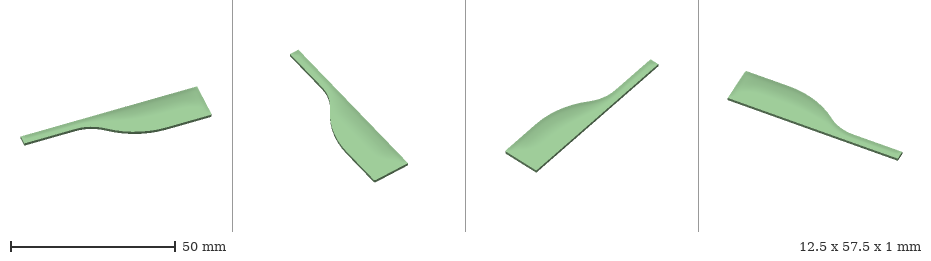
import cadquery as cq
import math

length = 57.5
blade_width = 12.5
thickness = 1.0

handle_width = 3.1
corner_radius = 0.5

blade_arc_radius = 27.35
blade_shoulder_y = 14.05

handle_arc_radius = blade_arc_radius / 2
turn_angle = math.acos(1 - (blade_width - handle_width) / (blade_arc_radius + handle_arc_radius))

left_x = -blade_width / 2
right_x = blade_width / 2
handle_x = left_x + handle_width
top_y = length / 2
bottom_y = -length / 2
handle_shoulder_y = blade_shoulder_y - (blade_arc_radius + handle_arc_radius) * math.sin(turn_angle)


def blade_arc_point(angle):
    """Point on the convex arc, turned by angle from the blade side."""
    return (
        right_x - blade_arc_radius * (1 - math.cos(angle)),
        blade_shoulder_y - blade_arc_radius * math.sin(angle),
    )


def handle_arc_point(angle):
    """Point on the concave arc, turned by angle from the handle side."""
    return (
        handle_x + handle_arc_radius * (1 - math.cos(angle)),
        handle_shoulder_y + handle_arc_radius * math.sin(angle),
    )


outline = (
    cq.Workplane("XY")
    .workplane(offset=-thickness / 2)
    .moveTo(left_x, bottom_y)
    .lineTo(left_x, top_y)
    .lineTo(right_x, top_y)
    .lineTo(right_x, blade_shoulder_y)
    .threePointArc(blade_arc_point(turn_angle / 2), blade_arc_point(turn_angle))
    .threePointArc(handle_arc_point(turn_angle / 2), (handle_x, handle_shoulder_y))
    .lineTo(handle_x, bottom_y)
    .close()
)

result = outline.extrude(thickness).edges("|Z and >X and >Y").fillet(corner_radius)